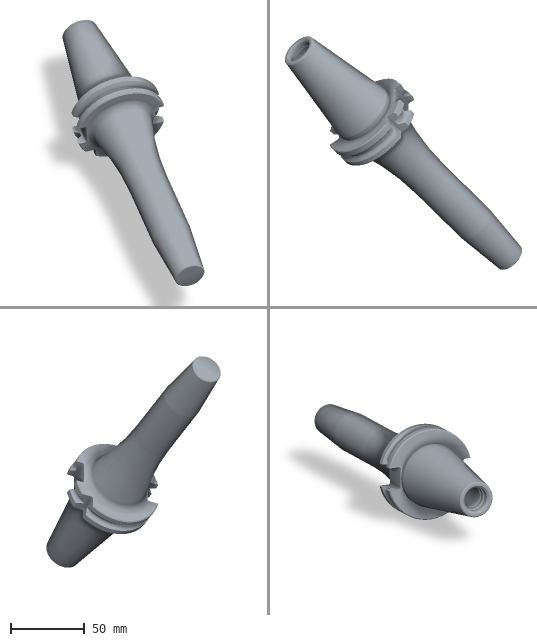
import cadquery as cq
import math

total_length = 228.2

taper_slope = 7 / 48
gauge_x = 67.8
gauge_radius = 22.1
taper_end_radius = gauge_radius - gauge_x * taper_slope
end_chamfer = 0.7
relief_radius = 22.0
relief_x = 69.2

flange_start = 71.2
flange_end = 87.2
flange_radius = 31.7
flange_chamfer = 0.7
groove_center = 79.5
groove_floor_radius = 28.0
groove_floor_width = 2.7
groove_floor_half = groove_floor_width / 2
groove_mouth_half = groove_floor_half + (flange_radius - groove_floor_radius) * math.tan(math.radians(30))

fillet_top_radius = 24.2
fillet_end = 90.5
fillet_bulge = 0.5
sweep_start_radius = 20.5
sweep_end = 142.0
neck_radius = 13.7
nose_start = 190.1
nose_radius = 10.5

slot_width = 16.0
front_slot_floor = 25.0
back_slot_floor = 22.4
slot_fillet = 1.4
notch_y = 18.5
notch_z = 18.3
notch_fillet = 1.0

bore_mouth_radius = 9.8
pilot_radius = 8.5
pilot_depth = 5.0
relief_bore_radius = 7.8
relief_bore_depth = 8.7
core_radius = 7.0
bore_depth = 32.0
drill_tip_angle = 118


def turned_body():
    """Revolve the outer profile; the sweep is an arc tangent to the neck cylinder."""
    sweep_length = sweep_end - fillet_end
    sweep_drop = sweep_start_radius - neck_radius
    sweep_arc_radius = (sweep_length**2 + sweep_drop**2) / (2 * sweep_drop)
    half_angle = math.asin(sweep_length / sweep_arc_radius) / 2
    sweep_mid = (
        sweep_end - sweep_arc_radius * math.sin(half_angle),
        neck_radius + sweep_arc_radius * (1 - math.cos(half_angle)),
    )
    fillet_mid = (
        (flange_end + fillet_end) / 2 - fillet_bulge,
        (fillet_top_radius + sweep_start_radius) / 2 - fillet_bulge,
    )
    profile = (
        cq.Workplane("XY")
        .moveTo(0, 0)
        .lineTo(0, taper_end_radius - end_chamfer)
        .lineTo(end_chamfer, taper_end_radius + end_chamfer * taper_slope)
        .lineTo(gauge_x, gauge_radius)
        .lineTo(relief_x, relief_radius)
        .lineTo(flange_start, relief_radius)
        .lineTo(flange_start, flange_radius - flange_chamfer)
        .lineTo(flange_start + flange_chamfer, flange_radius)
        .lineTo(groove_center - groove_mouth_half, flange_radius)
        .lineTo(groove_center - groove_floor_half, groove_floor_radius)
        .lineTo(groove_center + groove_floor_half, groove_floor_radius)
        .lineTo(groove_center + groove_mouth_half, flange_radius)
        .lineTo(flange_end - flange_chamfer, flange_radius)
        .lineTo(flange_end, flange_radius - flange_chamfer)
        .lineTo(flange_end, fillet_top_radius)
        .threePointArc(fillet_mid, (fillet_end, sweep_start_radius))
        .threePointArc(sweep_mid, (sweep_end, neck_radius))
        .lineTo(nose_start, neck_radius)
        .lineTo(total_length - end_chamfer, nose_radius)
        .lineTo(total_length, nose_radius - end_chamfer)
        .lineTo(total_length, 0)
        .close()
    )
    return profile.revolve(360, (0, 0, 0), (1, 0, 0))


def flange_cutter(y_inner, y_outer, z_low, z_high, fillet, fillet_edges):
    """Block spanning the flange and its neck fillet, with its inner corners rounded."""
    block = cq.Workplane("XY").box(
        fillet_end - flange_start, y_outer - y_inner, z_high - z_low, centered=False
    )
    block = block.edges(fillet_edges).fillet(fillet)
    return block.translate((flange_start, y_inner, z_low))


def pull_stud_bore():
    """Countersunk pilot, short relief, core hole and conical drill tip."""
    tip_length = core_radius / math.tan(math.radians(drill_tip_angle / 2))
    mouth_depth = bore_mouth_radius - pilot_radius
    relief_bore_start = pilot_depth + pilot_radius - relief_bore_radius
    core_start = relief_bore_depth + relief_bore_radius - core_radius
    profile = cq.Workplane("XY").polyline([
        (0, 0),
        (0, bore_mouth_radius),
        (mouth_depth, pilot_radius),
        (pilot_depth, pilot_radius),
        (relief_bore_start, relief_bore_radius),
        (relief_bore_depth, relief_bore_radius),
        (core_start, core_radius),
        (bore_depth, core_radius),
        (bore_depth + tip_length, 0),
    ]).close()
    return profile.revolve(360, (0, 0, 0), (1, 0, 0))


half_slot = slot_width / 2
front_slot = flange_cutter(
    -flange_radius, -front_slot_floor, -half_slot, half_slot, slot_fillet, "|X and >Y"
)
back_slot = flange_cutter(
    back_slot_floor, flange_radius, -half_slot, half_slot, slot_fillet, "|X and <Y"
)
notch = flange_cutter(
    -flange_radius, -notch_y, -flange_radius, -notch_z, notch_fillet, "|X and >Y and >Z"
)

result = turned_body().cut(pull_stud_bore()).cut(front_slot).cut(back_slot).cut(notch)